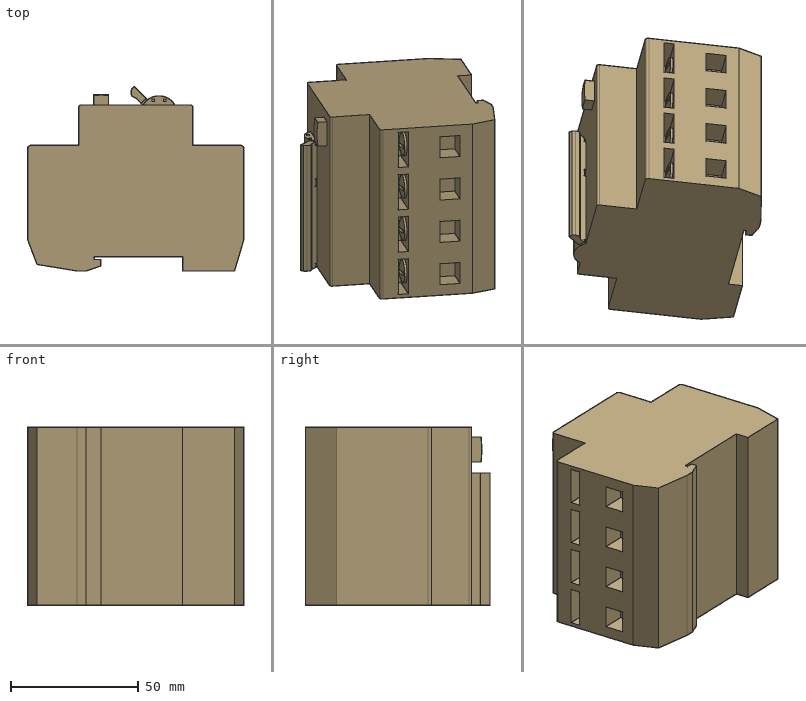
import cadquery as cq
import math

POLE_COUNT = 4
POLE_PITCH = 17.5
HOUSING_HEIGHT = POLE_COUNT * POLE_PITCH
HALF_WIDTH = 42.5
SHOULDER_Y = 49.5
SHOULDER_RADIUS = 1.3
NOSE_HALF_WIDTH = 22.5
NOSE_Y = 65.35
NOSE_RADIUS = 1.0

SIDE_BOTTOM_Y = 12.25
FOOT_HALF_WIDTH = 38.85
LEFT_FOOT_Y = 2.6
KEEL_LEFT_X = -23.0
KEEL_RIGHT_X = -19.5
HOOK_TIP_X = -13.7
HOOK_BOTTOM_Y = 2.0
HOOK_TOP_Y = 4.6
UNDERCUT_X = -16.3
RAIL_SEAT_Y = 5.6
RAIL_RIGHT_X = 18.45

SCREW_SLOT_Y = 40.1
SCREW_SLOT_WIDTH = 4.0
SCREW_SLOT_HEIGHT = 14.5
SCREW_SLOT_DEPTH = 14.5
WIRE_Y = 21.35
WIRE_WIDTH = 8.0
WIRE_HEIGHT = 8.65
WIRE_DEPTH = 10.0

SCREW_RADIUS = 4.7
SCREW_RIM = 0.95
SCREW_DOME = 1.2
DRIVER_SLOT_WIDTH = 1.3

BUTTON_X = -13.6
BUTTON_WIDTH = 5.9
BUTTON_LENGTH = 9.9
BUTTON_TOP_Y = 69.5
BUTTON_CROWN_RADIUS = 36.0

TOGGLE_LENGTH = 52.0
DRUM_X = 9.15
DRUM_RADIUS = 7.2
DRUM_RISE = 3.6
PIN_HOLE_SIZE = 1.0
PIN_HOLE_SPACING = 4.6
PIN_HOLE_Y = 67.25
PIN_HOLE_DEPTH = 1.0
LEVER_TIP = (-0.57, 72.64)
LEVER_LENGTH = 6.6
LEVER_THICKNESS = 2.8
LEVER_ANGLE = math.radians(135)
LEVER_END_FLAT = 1.4
LEVER_BROW = (-1.8, 70.95)
LEVER_NOSE = (-1.85, 70.3)
LEVER_CHIN = (-1.75, 69.4)
LEVER_HEEL = (-1.3, 68.6)
LEVER_BEND_LENGTH = 2.6
NECK_LENGTH = 2.5
NECK_END_GAP = 1.5
NECK_MIDDLE_GAP = 3.0
NECK_SPLIT_Z = 2 * POLE_PITCH


def box_between(x_range, y_range, z_range):
    """Axis-aligned box from (low, high) pairs."""
    size = [high - low for low, high in (x_range, y_range, z_range)]
    corner = (x_range[0], y_range[0], z_range[0])
    return cq.Workplane("XY").box(*size, centered=False).translate(corner)


def centered(middle, size):
    """(low, high) pair of a span around its middle."""
    return middle - size / 2, middle + size / 2


def pole_z(index):
    return (index + 0.5) * POLE_PITCH


def make_housing():
    outline = [
        (-FOOT_HALF_WIDTH, LEFT_FOOT_Y),
        (KEEL_LEFT_X, 0),
        (KEEL_RIGHT_X, 0),
        (HOOK_TIP_X, HOOK_BOTTOM_Y),
        (HOOK_TIP_X, HOOK_TOP_Y),
        (UNDERCUT_X, HOOK_TOP_Y),
        (UNDERCUT_X, RAIL_SEAT_Y),
        (RAIL_RIGHT_X, RAIL_SEAT_Y),
        (RAIL_RIGHT_X, 0),
        (FOOT_HALF_WIDTH, 0),
        (HALF_WIDTH, SIDE_BOTTOM_Y),
        (HALF_WIDTH, SHOULDER_Y),
        (NOSE_HALF_WIDTH, SHOULDER_Y),
        (NOSE_HALF_WIDTH, NOSE_Y),
        (-NOSE_HALF_WIDTH, NOSE_Y),
        (-NOSE_HALF_WIDTH, SHOULDER_Y),
        (-HALF_WIDTH, SHOULDER_Y),
        (-HALF_WIDTH, SIDE_BOTTOM_Y),
    ]
    housing = cq.Workplane("XY").polyline(outline).close().extrude(HOUSING_HEIGHT)
    for half_width, y, radius in (
        (HALF_WIDTH, SHOULDER_Y, SHOULDER_RADIUS),
        (NOSE_HALF_WIDTH, NOSE_Y, NOSE_RADIUS),
    ):
        for x in (-half_width, half_width):
            corner = cq.selectors.NearestToPointSelector((x, y, HOUSING_HEIGHT / 2))
            housing = housing.edges(corner).fillet(radius)
    return housing


def make_side_pocket(y, width, height, depth, z):
    """Rectangular cutter that enters the -X side by the given depth."""
    x_range = (-HALF_WIDTH, -HALF_WIDTH + depth)
    return box_between(x_range, centered(y, width), centered(z, height))


def make_screw_head(z):
    """Slotted screw head with its axis along Y, standing on the slot wall."""
    base_y = SCREW_SLOT_Y - SCREW_SLOT_WIDTH / 2
    rim_y = base_y + SCREW_RIM
    top_y = rim_y + SCREW_DOME
    dome_radius = (SCREW_RADIUS**2 + SCREW_DOME**2) / (2 * SCREW_DOME)
    mid_angle = math.asin(SCREW_RADIUS / dome_radius) / 2
    mid_x = dome_radius * math.sin(mid_angle)
    mid_y = top_y - dome_radius * (1 - math.cos(mid_angle))
    head = (
        cq.Workplane("XY")
        .moveTo(0, base_y)
        .lineTo(SCREW_RADIUS, base_y)
        .lineTo(SCREW_RADIUS, rim_y)
        .threePointArc((mid_x, mid_y), (0, top_y))
        .close()
        .revolve(360, (0, 0, 0), (0, 1, 0))
    )
    driver_slot = box_between(
        (-SCREW_RADIUS, SCREW_RADIUS), (rim_y, top_y), centered(0, DRIVER_SLOT_WIDTH)
    )
    screw_x = -HALF_WIDTH + SCREW_SLOT_DEPTH / 2
    return head.cut(driver_slot).translate((screw_x, 0, z))


def make_button():
    z = pole_z(POLE_COUNT - 1)
    block = box_between(
        centered(BUTTON_X, BUTTON_WIDTH), (NOSE_Y - NOSE_RADIUS, BUTTON_TOP_Y), centered(z, BUTTON_LENGTH)
    )
    crown_center = (BUTTON_X, BUTTON_TOP_Y - BUTTON_CROWN_RADIUS, z)
    crown = cq.Workplane("XY").sphere(BUTTON_CROWN_RADIUS).translate(crown_center)
    return block.intersect(crown)


def make_drum():
    center_y = NOSE_Y + DRUM_RISE - DRUM_RADIUS
    drum = cq.Workplane("XY").center(DRUM_X, center_y).circle(DRUM_RADIUS).extrude(TOGGLE_LENGTH)
    for side in (-1, 1):
        hole = box_between(
            centered(DRUM_X + side * PIN_HOLE_SPACING / 2, PIN_HOLE_SIZE),
            centered(PIN_HOLE_Y, PIN_HOLE_SIZE),
            (TOGGLE_LENGTH - PIN_HOLE_DEPTH, TOGGLE_LENGTH),
        )
        drum = drum.cut(hole)
    return drum


def lever_point(back, down):
    """Point reached from the lever tip by moving back along the lever and down across it."""
    along_x, along_y = math.cos(LEVER_ANGLE), math.sin(LEVER_ANGLE)
    x = LEVER_TIP[0] - back * along_x - down * along_y
    y = LEVER_TIP[1] - back * along_y + down * along_x
    return x, y


def make_lever():
    """Slanted bar with a rounded nose, plus the two necks that carry it."""
    bar = (
        cq.Workplane("XY")
        .moveTo(*LEVER_TIP)
        .lineTo(*lever_point(LEVER_LENGTH, 0))
        .lineTo(*lever_point(LEVER_LENGTH, LEVER_THICKNESS))
        .lineTo(*lever_point(LEVER_LENGTH - LEVER_BEND_LENGTH, LEVER_THICKNESS))
        .lineTo(*LEVER_HEEL)
        .threePointArc(LEVER_CHIN, LEVER_NOSE)
        .threePointArc(LEVER_BROW, lever_point(0, LEVER_END_FLAT))
        .close()
        .extrude(TOGGLE_LENGTH)
    )
    neck_outline = [
        lever_point(LEVER_LENGTH, 0),
        lever_point(LEVER_LENGTH + NECK_LENGTH, 0),
        lever_point(LEVER_LENGTH + NECK_LENGTH, LEVER_THICKNESS),
        lever_point(LEVER_LENGTH, LEVER_THICKNESS),
    ]
    neck_spans = (
        (NECK_END_GAP, NECK_SPLIT_Z - NECK_MIDDLE_GAP / 2),
        (NECK_SPLIT_Z + NECK_MIDDLE_GAP / 2, TOGGLE_LENGTH - NECK_END_GAP),
    )
    for low, high in neck_spans:
        neck = cq.Workplane("XY", origin=(0, 0, low)).polyline(neck_outline).close().extrude(high - low)
        bar = bar.union(neck)
    return bar


result = make_housing()
for pole in range(POLE_COUNT):
    center_z = pole_z(pole)
    screw_slot = make_side_pocket(
        SCREW_SLOT_Y, SCREW_SLOT_WIDTH, SCREW_SLOT_HEIGHT, SCREW_SLOT_DEPTH, center_z
    )
    wire_opening = make_side_pocket(WIRE_Y, WIRE_WIDTH, WIRE_HEIGHT, WIRE_DEPTH, center_z)
    result = result.cut(screw_slot).cut(wire_opening).union(make_screw_head(center_z))
result = result.union(make_button()).union(make_drum()).union(make_lever())